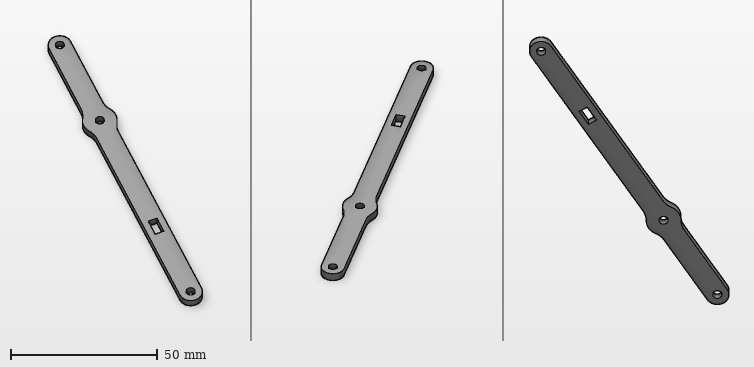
import cadquery as cq
import math

length = 123.2
bar_width = 8.0
thickness = 3.0
end_radius = bar_width / 2

boss_diameter = 12.0
boss_radius = boss_diameter / 2
blend_radius = 6.9

end_hole_x = length / 2 - end_radius
pivot_x = -22.4
slot_x = 27.1

hole_diameter = 3.1
slot_length = 6.0
slot_width = 3.2


def bar():
    return cq.Workplane("XY").slot2D(length, bar_width).extrude(thickness)


def boss_with_blends():
    """Round boss whose concave blends are tangent to it and to the bar edges."""
    blend_center_y = bar_width / 2 + blend_radius
    center_distance = boss_radius + blend_radius
    blend_center_x = math.sqrt(center_distance**2 - blend_center_y**2)

    touch_x = blend_center_x * boss_radius / center_distance
    touch_y = blend_center_y * boss_radius / center_distance
    half_sweep = math.atan2(blend_center_x, blend_center_y) / 2
    middle_x = blend_center_x - blend_radius * math.sin(half_sweep)
    middle_y = blend_center_y - blend_radius * math.cos(half_sweep)

    return (
        cq.Workplane("XY")
        .center(pivot_x, 0)
        .moveTo(-blend_center_x, bar_width / 2)
        .threePointArc((-middle_x, middle_y), (-touch_x, touch_y))
        .threePointArc((0, boss_radius), (touch_x, touch_y))
        .threePointArc((middle_x, middle_y), (blend_center_x, bar_width / 2))
        .lineTo(blend_center_x, -bar_width / 2)
        .threePointArc((middle_x, -middle_y), (touch_x, -touch_y))
        .threePointArc((0, -boss_radius), (-touch_x, -touch_y))
        .threePointArc((-middle_x, -middle_y), (-blend_center_x, -bar_width / 2))
        .close()
        .extrude(thickness)
    )


def round_holes():
    hole_places = [(-end_hole_x, 0), (pivot_x, 0), (end_hole_x, 0)]
    return cq.Workplane("XY").pushPoints(hole_places).circle(hole_diameter / 2).extrude(thickness)


def rectangular_slot():
    return cq.Workplane("XY").center(slot_x, 0).rect(slot_length, slot_width).extrude(thickness)


result = bar().union(boss_with_blends()).cut(round_holes()).cut(rectangular_slot())